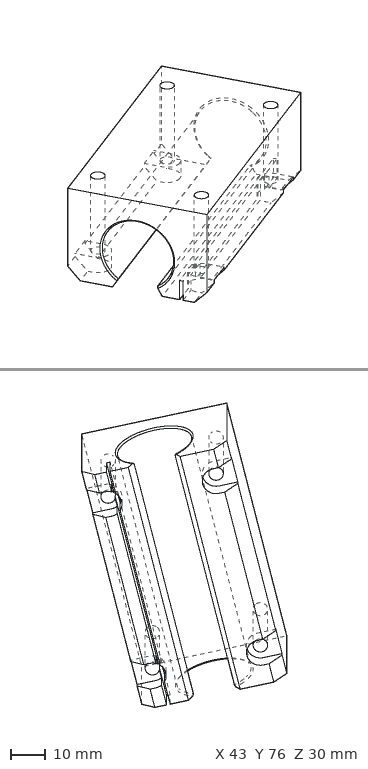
import cadquery as cq
import math

WIDTH = 43.0
LENGTH = 76.0
HEIGHT = 30.0
CORNER_WIDTH = 3.9
CORNER_HEIGHT = 4.1

BORE_RADIUS = 11.0
BORE_HEIGHT = 12.0
BORE_CHAMFER = 0.5
MOUTH_HALF_WIDTH = 7.7
MOUTH_ANGLE = 30.0

SLIT_OFFSET = 13.6
SLIT_WIDTH = 1.1
SLIT_DEPTH = 6.4

HOLE_DIAMETER = 4.2
HOLE_SPACING_X = 32.0
HOLE_SPACING_Y = 56.0
POCKET_DIAMETER = 8.0
POCKET_DEPTH = 5.1


def make_block():
    half = WIDTH / 2
    return (
        cq.Workplane("XZ")
        .moveTo(-half, HEIGHT)
        .lineTo(half, HEIGHT)
        .lineTo(half, CORNER_HEIGHT)
        .lineTo(half - CORNER_WIDTH, 0)
        .lineTo(CORNER_WIDTH - half, 0)
        .lineTo(-half, CORNER_HEIGHT)
        .close()
        .extrude(LENGTH / 2, both=True)
    )


def make_bore():
    bore = (
        cq.Workplane("XZ")
        .center(0, BORE_HEIGHT)
        .circle(BORE_RADIUS)
        .extrude(LENGTH / 2, both=True)
    )
    for end in (-1, 1):
        cone = cq.Solid.makeCone(
            BORE_RADIUS + BORE_CHAMFER,
            BORE_RADIUS,
            BORE_CHAMFER,
            cq.Vector(0, end * LENGTH / 2, BORE_HEIGHT),
            cq.Vector(0, -end, 0),
        )
        bore = bore.union(cq.Workplane(cone))
    return bore


def make_mouth():
    apex_height = MOUTH_HALF_WIDTH / math.tan(math.radians(MOUTH_ANGLE))
    return (
        cq.Workplane("XZ")
        .moveTo(-MOUTH_HALF_WIDTH, 0)
        .lineTo(MOUTH_HALF_WIDTH, 0)
        .lineTo(0, apex_height)
        .close()
        .extrude(LENGTH / 2, both=True)
    )


def make_slit():
    return (
        cq.Workplane("XY")
        .center(SLIT_OFFSET, 0)
        .rect(SLIT_WIDTH, LENGTH)
        .extrude(SLIT_DEPTH)
    )


def make_screw_holes():
    holes = (
        cq.Workplane("XY")
        .rarray(HOLE_SPACING_X, HOLE_SPACING_Y, 2, 2)
        .circle(HOLE_DIAMETER / 2)
        .extrude(HEIGHT)
    )
    heads = (
        cq.Workplane("XY")
        .rarray(HOLE_SPACING_X, HOLE_SPACING_Y, 2, 2)
        .circle(POCKET_DIAMETER / 2)
        .extrude(POCKET_DEPTH)
    )
    wall_length = (WIDTH - HOLE_SPACING_X) / 2
    openings = (
        cq.Workplane("XY")
        .rarray(HOLE_SPACING_X + wall_length, HOLE_SPACING_Y, 2, 2)
        .rect(wall_length, POCKET_DIAMETER)
        .extrude(POCKET_DEPTH)
    )
    return holes.union(heads).union(openings)


result = (
    make_block()
    .cut(make_bore())
    .cut(make_mouth())
    .cut(make_slit())
    .cut(make_screw_holes())
)